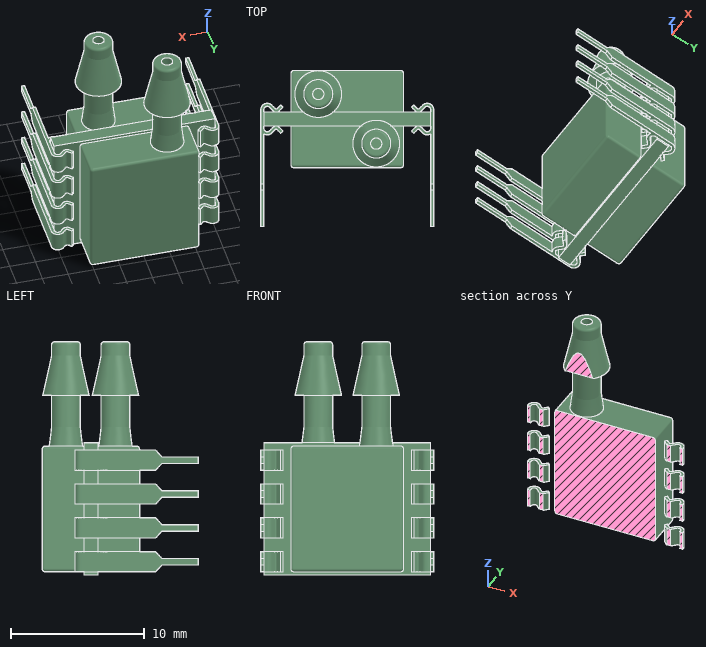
import cadquery as cq
import math

overall_depth = 11.7

board_width = 12.46
board_thickness = 1.07
board_height = 9.91

housing_width = 8.45
housing_depth = 7.3
housing_inset = 0.25
housing_fillet = 0.25
housing_height = board_height - 2 * housing_inset
housing_top = board_height - housing_inset

port_positions = [(-2.17, 1.87), (2.17, -1.84)]
port_top = 17.48
port_radius = 1.08
port_root_radius = 1.25
port_root_top = 11.08
port_embed = 0.25
barb_radius = 1.75
barb_bottom = 13.46
barb_top = 16.43
port_tip_fillet = 0.25
port_bore_radius = 0.42

lead_count = 4
lead_pitch = 2.53
lead_thickness = 0.25
lead_width = 1.52
pin_width = 0.5
lead_shoulder_y = -4.85
pin_start_y = -5.31
pin_tip_y = housing_depth / 2 - overall_depth
first_lead_z = housing_inset + lead_width / 2

lead_center_x = -(board_width + lead_thickness) / 2
hook_radius = 0.37
hook_center_y = 0.7
contact_radius = 0.21
contact_overlap = 0.02
tail_run = 0.28


def make_housing():
    block = cq.Workplane("XY").box(housing_width, housing_depth, housing_height)
    return block.edges().fillet(housing_fillet).translate((0, 0, board_height / 2))


def make_port():
    """Port body on the Z axis, revolved from its half profile."""
    root_z = housing_top - port_embed
    tip_radius = port_radius - port_tip_fillet
    fillet_offset = port_tip_fillet * math.sqrt(0.5)
    return (
        cq.Workplane("XZ")
        .moveTo(0, root_z)
        .lineTo(port_root_radius, root_z)
        .lineTo(port_root_radius, housing_top)
        .lineTo(port_radius, port_root_top)
        .lineTo(port_radius, barb_bottom)
        .lineTo(barb_radius, barb_bottom)
        .lineTo(port_radius, barb_top)
        .lineTo(port_radius, port_top - port_tip_fillet)
        .threePointArc(
            (tip_radius + fillet_offset, port_top - port_tip_fillet + fillet_offset),
            (tip_radius, port_top),
        )
        .lineTo(0, port_top)
        .close()
        .revolve(360, (0, 0, 0), (0, 1, 0))
    )


def make_port_bore():
    bore_floor = cq.Workplane("XY").workplane(offset=housing_top)
    return bore_floor.circle(port_bore_radius).extrude(port_top - housing_top)


def make_clip():
    """Strip hooked around the +Y corner of the left board edge; all slopes are 45 degrees."""
    diagonal = math.sqrt(0.5)
    hook_center_x = lead_center_x + hook_radius
    contact_y = board_thickness / 2 + lead_thickness / 2 - contact_overlap
    hook_end_x = hook_center_x + hook_radius * diagonal
    hook_end_y = hook_center_y + hook_radius * diagonal
    contact_end_y = contact_y + contact_radius * (1 - diagonal)
    slope_run = hook_end_y - contact_end_y
    contact_start_x = hook_end_x + slope_run
    contact_x = contact_start_x + contact_radius * diagonal
    contact_end_x = contact_x + contact_radius * diagonal
    hook_angle = math.radians((180 + 45) / 2)
    hook_middle = (
        hook_center_x + hook_radius * math.cos(hook_angle),
        hook_center_y + hook_radius * math.sin(hook_angle),
    )
    path = (
        cq.Workplane("XY")
        .moveTo(lead_center_x, 0)
        .lineTo(lead_center_x, hook_center_y)
        .threePointArc(hook_middle, (hook_end_x, hook_end_y))
        .lineTo(contact_start_x, contact_end_y)
        .threePointArc((contact_x, contact_y), (contact_end_x, contact_end_y))
        .lineTo(contact_end_x + tail_run, contact_end_y + tail_run)
    )
    section = cq.Workplane("XZ").center(lead_center_x, 0).rect(lead_thickness, lead_width)
    return section.sweep(path)


def make_lead():
    """Left-hand lead centred on Z = 0: tapered blade, pin and two mirrored clips."""
    upper_half = [
        (hook_center_y, lead_width / 2),
        (lead_shoulder_y, lead_width / 2),
        (pin_start_y, pin_width / 2),
        (pin_tip_y, pin_width / 2),
    ]
    lower_half = [(y, -z) for y, z in reversed(upper_half)]
    blade = (
        cq.Workplane("YZ")
        .workplane(offset=lead_center_x - lead_thickness / 2)
        .polyline(upper_half + lower_half)
        .close()
        .extrude(lead_thickness)
    )
    clip = make_clip()
    return blade.union(clip).union(clip.mirror("XZ"))


board = cq.Workplane("XY").box(board_width, board_thickness, board_height, centered=(True, True, False))
result = board.union(make_housing())

port = make_port()
port_bore = make_port_bore()
for x, y in port_positions:
    result = result.union(port.translate((x, y, 0)))
    result = result.cut(port_bore.translate((x, y, 0)))

left_lead = make_lead()
right_lead = left_lead.mirror("YZ")
for index in range(lead_count):
    lead_z = first_lead_z + index * lead_pitch
    for lead in (left_lead, right_lead):
        result = result.union(lead.translate((0, 0, lead_z)))